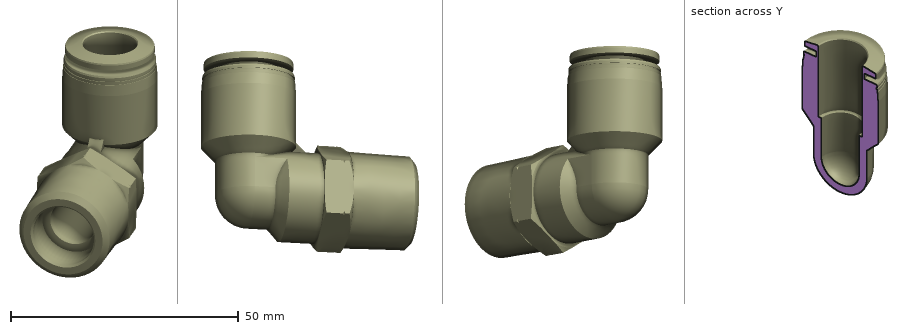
import cadquery as cq


socket_dia = 21.0
socket_upper_dia = 20.65
socket_bottom = 10.85
socket_taper_start = 22.7
socket_top = 25.25
collar_dia = 20.4
collar_rim_dia = 20.0
collar_top = 27.25
collar_chamfer = 0.38
groove_z = 25.95
groove_height = 0.38
groove_depth = 0.2
neck_dia = 13.5
release_dia = 19.8
release_edge_dia = 19.55
release_bottom = 28.65
release_rim = 29.85
release_edge = 30.17
release_top = 30.7
tube_bore_dia = 12.0
tube_bore_floor = 10.85
tube_lead_in = 0.25

elbow_dia = 14.85
stem_top = 7.6
flow_dia = 10.3
shank_dia = 20.0
shank_shoulder = 7.2
rib_width = 3.2
rib_top = 12.13
rib_reach = 10.35

hex_flats = 21.0
hex_start = 15.05
hex_end = 21.55
hex_back_rim_dia = 21.7
hex_back_chamfer = 0.38
hex_front_rim_dia = 21.15
hex_front_chamfer = 1.0
nick_position = 19.4
nick_width = 0.55
nick_depth = 0.3
thread_large_dia = 21.4
thread_small_dia = 20.75
thread_tip_dia = 18.15
thread_taper_end = 35.35
outer_length = 47.0
thread_end = outer_length - socket_dia / 2
port_dia = 13.95
port_mouth_dia = 14.85
port_floor = 28.9

hex_corners = hex_flats * 2 / 3**0.5


def turned(profile):
    """Revolve (diameter, height) stations into a solid about Z."""
    outline = [(0, profile[0][1])]
    outline += [(dia / 2, height) for dia, height in profile]
    outline.append((0, profile[-1][1]))
    return cq.Workplane("XZ").polyline(outline).close().revolve(360, (0, 0), (0, 1))


def toward_thread(solid):
    """Swing a solid from the Z axis onto the -Y axis."""
    return solid.rotate((0, 0, 0), (1, 0, 0), 90)


def box(width, y_min, y_max, z_min, z_max):
    size = (width, y_max - y_min, z_max - z_min)
    block = cq.Workplane("XY").box(*size, centered=(True, False, False))
    return block.translate((0, y_min, z_min))


def socket():
    groove_dia = collar_dia - 2 * groove_depth
    return turned([
        (elbow_dia, 0),
        (elbow_dia, stem_top),
        (socket_dia, socket_bottom),
        (socket_dia, socket_taper_start),
        (socket_upper_dia, socket_top),
        (collar_dia, socket_top),
        (collar_dia, groove_z),
        (groove_dia, groove_z),
        (groove_dia, groove_z + groove_height),
        (collar_dia, groove_z + groove_height),
        (collar_dia, collar_top - collar_chamfer),
        (collar_rim_dia, collar_top),
        (neck_dia, collar_top),
        (neck_dia, release_bottom),
        (release_dia, release_bottom),
        (release_dia, release_rim),
        (release_edge_dia, release_edge),
        (tube_bore_dia + 2 * tube_lead_in, release_top),
    ])


def threaded_end():
    shoulder_length = (shank_dia - elbow_dia) / 2
    return toward_thread(turned([
        (elbow_dia, 0),
        (elbow_dia, shank_shoulder - shoulder_length),
        (shank_dia, shank_shoulder),
        (shank_dia, hex_end),
        (thread_large_dia, hex_end),
        (thread_small_dia, thread_taper_end),
        (thread_tip_dia, thread_end),
    ]))


def hexagon():
    """Chamfered hexagon with a small V nick across each corner."""
    prism = cq.Workplane("XY").workplane(offset=hex_start).polygon(6, hex_corners)
    prism = prism.extrude(hex_end - hex_start).rotate((0, 0, 0), (0, 0, 1), 90)
    envelope = turned([
        (hex_back_rim_dia, hex_start),
        (hex_corners, hex_start + hex_back_chamfer),
        (hex_corners, nick_position - nick_width / 2),
        (hex_corners - 2 * nick_depth, nick_position),
        (hex_corners, nick_position + nick_width / 2),
        (hex_corners, hex_end - hex_front_chamfer),
        (hex_front_rim_dia, hex_end),
    ])
    return toward_thread(prism.intersect(envelope))


def saddle():
    """Flat-sided upper part of the shank, reaching back under the socket."""
    shank = toward_thread(cq.Workplane("XY").circle(shank_dia / 2).extrude(shank_shoulder))
    return shank.intersect(box(elbow_dia, -shank_shoulder, 0, 0, shank_dia))


def rib():
    foot = rib_reach + rib_top
    web = cq.Workplane("YZ").polyline([(0, 0), (0, rib_top), (-rib_reach, rib_top), (-foot, 0)])
    web = web.close().extrude(rib_width / 2, both=True)
    return web.intersect(box(rib_width, -hex_start, -shank_shoulder, 0, rib_top))


def tube_bore():
    return turned([
        (flow_dia, 0),
        (flow_dia, tube_bore_floor),
        (tube_bore_dia, tube_bore_floor),
        (tube_bore_dia, release_top - tube_lead_in),
        (tube_bore_dia + 2 * tube_lead_in, release_top),
    ])


def thread_bore():
    mouth_depth = (port_mouth_dia - port_dia) / 2
    return toward_thread(turned([
        (flow_dia, 0),
        (flow_dia, port_floor),
        (port_dia, port_floor),
        (port_dia, thread_end - mouth_depth),
        (port_mouth_dia, thread_end),
    ]))


body = cq.Workplane("XY").sphere(elbow_dia / 2)
for piece in (socket(), threaded_end(), hexagon(), saddle(), rib()):
    body = body.union(piece)

passage = cq.Workplane("XY").sphere(flow_dia / 2)
passage = passage.union(tube_bore()).union(thread_bore())

result = body.cut(passage)